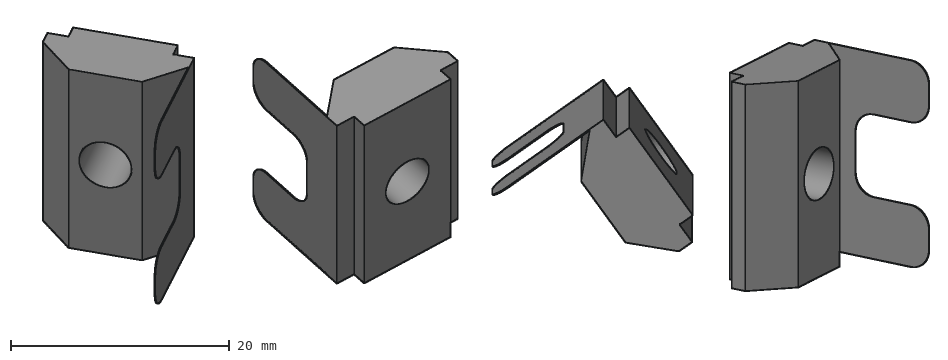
import cadquery as cq

height = 20.0
body_width = 14.0
rib_width = 10.0
nose_width = 7.0
rib_depth = 1.5
shoulder_depth = 1.5
taper_depth = (body_width - nose_width) / 2
hole_diameter = 5.0

overall_depth = 14.0
leaf_thickness = 0.1
slot_height = 8.0
slot_length = 8.0
corner_radius = 2.0

back_y = overall_depth / 2
shoulder_y = back_y - rib_depth
taper_y = shoulder_y - shoulder_depth
nose_y = taper_y - taper_depth
leaf_tip_y = back_y - overall_depth


def make_block():
    """Sliding-nut body: rear rib, square shoulders and tapered nose."""
    half_profile = [
        (0, back_y),
        (rib_width / 2, back_y),
        (rib_width / 2, shoulder_y),
        (body_width / 2, shoulder_y),
        (body_width / 2, taper_y),
        (nose_width / 2, nose_y),
        (0, nose_y),
    ]
    half = cq.Workplane("XY").polyline(half_profile).close().extrude(height / 2, both=True)
    return half.mirror("YZ", union=True)


def make_leaf():
    """Flat leaf with rounded tips and a round-cornered slot open at the tip."""
    leaf_length = taper_y - leaf_tip_y
    leaf = cq.Workplane("XY").box(leaf_thickness, leaf_length, height, centered=(True, False, True))
    slot = (
        cq.Workplane("XY")
        .box(leaf_thickness, slot_length, slot_height, centered=(True, False, True))
        .edges("|X and >Y")
        .fillet(corner_radius)
    )
    forked = leaf.cut(slot).edges("|X and <Y").fillet(corner_radius)
    return forked.translate(((body_width - leaf_thickness) / 2, leaf_tip_y, 0))


def make_hole():
    """Through hole along Y at mid-width and mid-height of the block."""
    return (
        cq.Workplane("XZ", origin=(0, back_y, 0))
        .circle(hole_diameter / 2)
        .extrude(back_y - nose_y)
    )


result = make_block().cut(make_hole()).union(make_leaf())